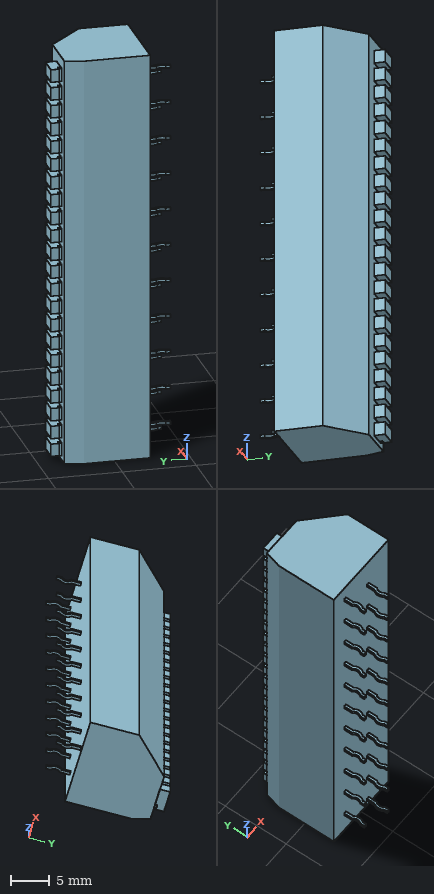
import cadquery as cq
import math


BODY_WIDTH = 12.0
BODY_DEPTH = 11.5
BODY_LENGTH = 56.5
WIRE_SIDE_CHAMFER_WIDTH = 4.9
WIRE_SIDE_CHAMFER_DEPTH = 4.8
BACK_CHAMFER_DEPTH = 2.5
BACK_CHAMFER_ANGLE = 15.0

POLES = 22
PITCH = 2.5

BUTTON_WIDTH = 3.0
BUTTON_HEIGHT = 1.5
BUTTON_LENGTH = 1.75
BUTTON_X = 1.85
FIRST_BUTTON_Z = 1.6
BUTTON_LEG_HEIGHT = 0.4
BUTTON_LEG_INSET = 0.05
BUTTON_LEG_WIDTH = 0.3
BUTTON_SLOT_WIDTH = 0.3

PIN_LENGTH = 3.3
PIN_THICKNESS = 0.4
PIN_WIDTH = 0.4
BEND_DEPTH = 2.0
BEND_RISE = 0.27
BEND_INNER_SPAN = 1.3
FIRST_PIN_Z = 1.3
LEFT_ROW_X = 2.45
ROW_SPACING = 5.0
PIN_EMBED = 0.5


def make_body():
    back_chamfer_width = BACK_CHAMFER_DEPTH * math.tan(math.radians(BACK_CHAMFER_ANGLE))
    outline = [
        (0, 0),
        (BODY_WIDTH, 0),
        (BODY_WIDTH, BODY_DEPTH - WIRE_SIDE_CHAMFER_DEPTH),
        (BODY_WIDTH - WIRE_SIDE_CHAMFER_WIDTH, BODY_DEPTH),
        (back_chamfer_width, BODY_DEPTH),
        (0, BODY_DEPTH - BACK_CHAMFER_DEPTH),
    ]
    return cq.Workplane("XY").polyline(outline).close().extrude(BODY_LENGTH)


def make_button(center_z):
    """Button on the +Y face; a narrow slot leaves a slightly inset leg under its -X side."""
    right_x = BUTTON_X + BUTTON_WIDTH
    top_y = BODY_DEPTH + BUTTON_HEIGHT
    leg_top_y = BODY_DEPTH + BUTTON_LEG_HEIGHT
    leg_left_x = BUTTON_X + BUTTON_LEG_INSET
    leg_right_x = leg_left_x + BUTTON_LEG_WIDTH
    slot_right_x = leg_right_x + BUTTON_SLOT_WIDTH
    outline = [
        (slot_right_x, BODY_DEPTH),
        (right_x, BODY_DEPTH),
        (right_x, top_y),
        (BUTTON_X, top_y),
        (BUTTON_X, leg_top_y),
        (leg_left_x, leg_top_y),
        (leg_left_x, BODY_DEPTH),
        (leg_right_x, BODY_DEPTH),
        (leg_right_x, leg_top_y),
        (slot_right_x, leg_top_y),
    ]
    start = cq.Workplane("XY").workplane(offset=center_z - BUTTON_LENGTH / 2)
    return start.polyline(outline).close().extrude(BUTTON_LENGTH)


def make_pin(center_x, center_z, side):
    """Pin below the -Y face; its bend bulges toward +X (side = 1) or -X (side = -1)."""
    inner_x = center_x - side * PIN_THICKNESS / 2
    outer_x = center_x + side * PIN_THICKNESS / 2
    inner_half_span = BEND_INNER_SPAN / 2

    inner_radius = (inner_half_span**2 + BEND_RISE**2) / (2 * BEND_RISE)
    outer_radius = inner_radius + PIN_THICKNESS
    outer_half_span = math.sqrt(outer_radius**2 - (outer_radius - BEND_RISE) ** 2)

    start = cq.Workplane("XY").workplane(offset=center_z - PIN_WIDTH / 2)
    outline = (
        start.moveTo(inner_x, PIN_EMBED)
        .lineTo(inner_x, -BEND_DEPTH + inner_half_span)
        .threePointArc(
            (inner_x + side * BEND_RISE, -BEND_DEPTH),
            (inner_x, -BEND_DEPTH - inner_half_span),
        )
        .lineTo(inner_x, -PIN_LENGTH)
        .lineTo(outer_x, -PIN_LENGTH)
        .lineTo(outer_x, -BEND_DEPTH - outer_half_span)
        .threePointArc(
            (outer_x + side * BEND_RISE, -BEND_DEPTH),
            (outer_x, -BEND_DEPTH + outer_half_span),
        )
        .lineTo(outer_x, PIN_EMBED)
        .close()
    )
    return outline.extrude(PIN_WIDTH)


result = make_body()
for pole in range(POLES):
    result = result.union(make_button(FIRST_BUTTON_Z + pole * PITCH))

    in_right_row = pole % 2 == 0
    pin_x = LEFT_ROW_X + ROW_SPACING if in_right_row else LEFT_ROW_X
    bend_side = -1 if in_right_row else 1
    result = result.union(make_pin(pin_x, FIRST_PIN_Z + pole * PITCH, bend_side))